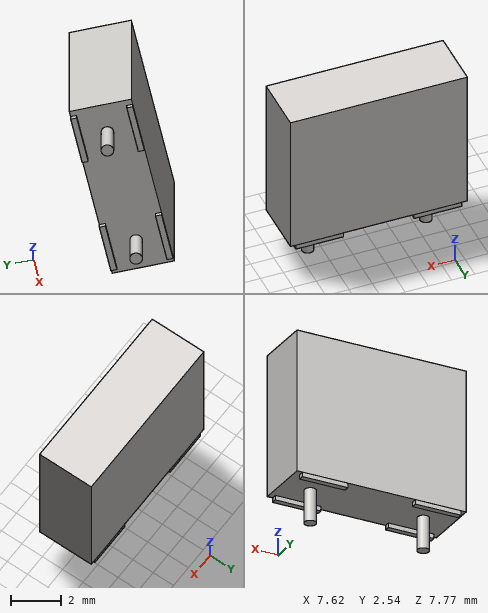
import cadquery as cq

total_height = 7.77
case_length = 7.62
case_depth = 2.54
case_height = 6.31

foot_length = 2.05
foot_width = 0.25
foot_height = 0.2

pin_diameter = 0.505
pin_spacing = 5.09
pin_length = total_height - case_height

pin_positions_x = (-pin_spacing / 2, pin_spacing / 2)
foot_offset_y = (case_depth - foot_width) / 2


def make_case():
    """Plain rectangular case standing on the Z = 0 plane."""
    return cq.Workplane("XY").box(case_length, case_depth, case_height, centered=(True, True, False))


def make_foot(x, y):
    """Flat strip that hangs from the underside of the case."""
    foot = cq.Workplane("XY").box(foot_length, foot_width, foot_height, centered=(True, True, False))
    return foot.translate((x, y, -foot_height))


def make_pin(x):
    """Round pin that hangs from the underside of the case."""
    return cq.Workplane("XY").center(x, 0).circle(pin_diameter / 2).extrude(-pin_length)


case = make_case()

feet = []
pins = []
for pin_x in pin_positions_x:
    pins.append(make_pin(pin_x).val())
    for foot_y in (-foot_offset_y, foot_offset_y):
        feet.append(make_foot(pin_x, foot_y).val())

result = cq.Compound.makeCompound([case.val(), *feet, *pins])